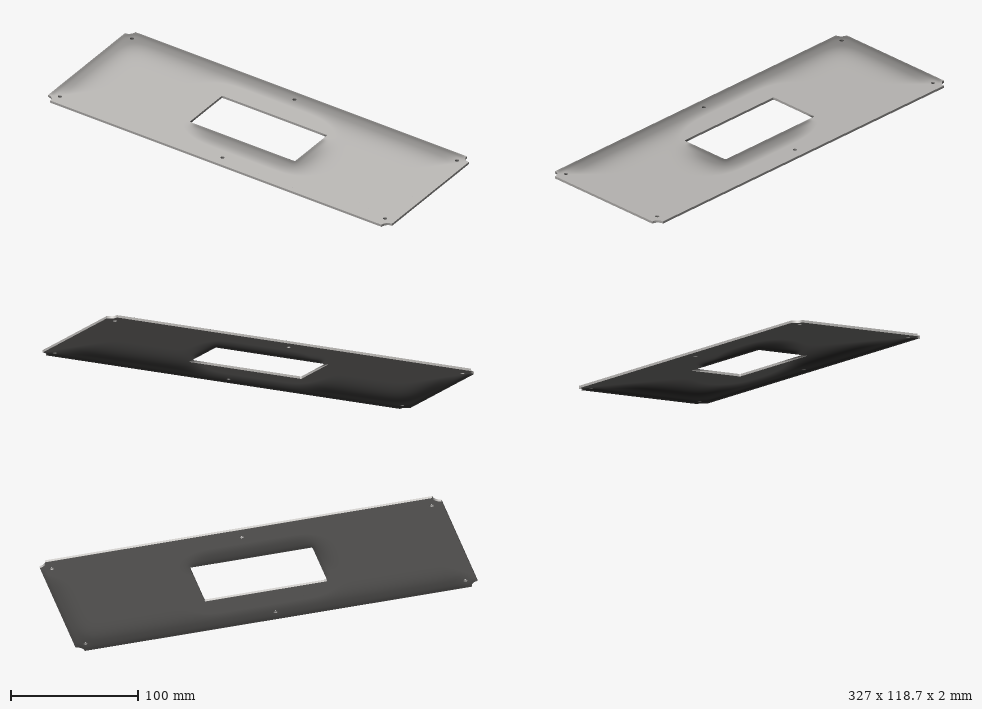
import cadquery as cq

length = 327.0
width = 118.7
thickness = 2.0
corner_notch_radius = 6.0

window_length = 100.0
window_width = 45.0
window_corner_radius = 1.0

hole_diameter = 3.3
hole_pitch_x = 154.7
hole_pitch_y = 100.5

plate = cq.Workplane("XY").box(length, width, thickness)

corner_notches = (
    cq.Workplane("XY")
    .rect(length, width, forConstruction=True)
    .vertices()
    .circle(corner_notch_radius)
    .extrude(thickness, both=True)
)

window = (
    cq.Workplane("XY")
    .rect(window_length, window_width)
    .extrude(thickness, both=True)
    .edges("|Z")
    .fillet(window_corner_radius)
)

mounting_holes = (
    cq.Workplane("XY")
    .rarray(hole_pitch_x, hole_pitch_y, 3, 2)
    .circle(hole_diameter / 2)
    .extrude(thickness, both=True)
)

result = plate.cut(corner_notches).cut(window).cut(mounting_holes)